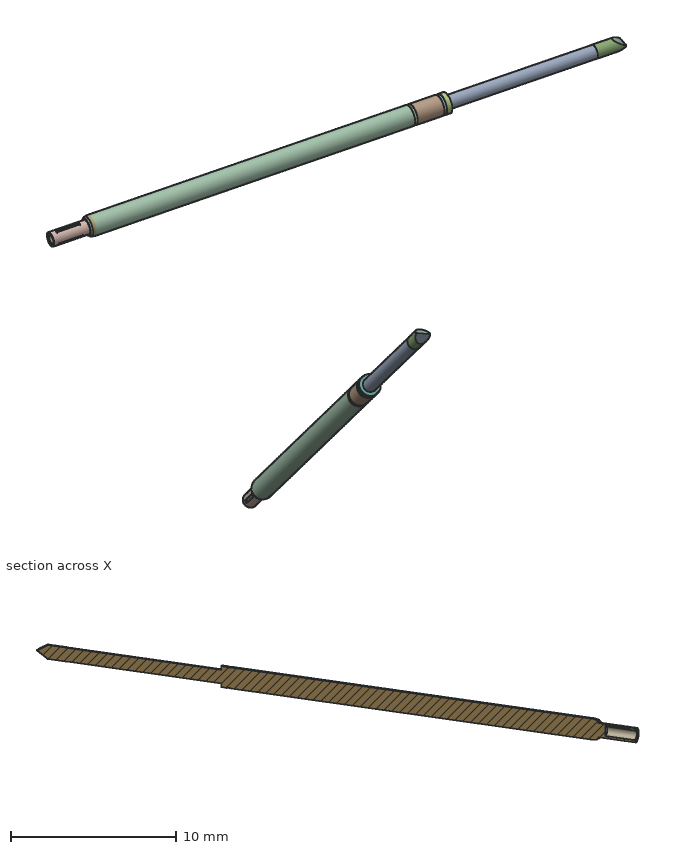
import cadquery as cq
import math


overall_length = 39.62
barrel_diameter = 1.37
plunger_diameter = 0.92
tail_diameter = 0.94

plunger_length = 12.20
tail_length = 2.47
barrel_length = overall_length - plunger_length - tail_length

tip_length = 0.74
corner_radius = 0.12
head_length = 2.00
neck_relief = 0.01

groove_positions = (0.45, 2.48)
groove_width = 0.18
groove_depth = 0.025

taper_length = 0.22
taper_depth = 0.04
end_chamfer_length = 0.12
end_chamfer_depth = 0.09

tail_bore_diameter = 0.58
tail_bore_depth = 2.0
bore_chamfer = 0.06
slot_count = 3
slot_length = 1.60
slot_width = 0.18
slot_depth = 0.10
slot_end_gap = 0.40

plunger_radius = plunger_diameter / 2
barrel_radius = barrel_diameter / 2
bore_radius = tail_bore_diameter / 2
barrel_rear = -barrel_length
tail_end = barrel_rear - tail_length


def rod(diameter, y_start, y_end):
    """Solid cylinder on the Y axis between two Y positions."""
    plane = cq.Workplane("XZ", origin=(0, y_end, 0))
    return plane.circle(diameter / 2).extrude(y_end - y_start)


def turned(profile):
    """Solid turned about the Y axis from (radius, Y) corner points."""
    return cq.Workplane("XY").polyline(profile).close().revolve(360, (0, 0, 0), (0, 1, 0))


def make_plunger():
    """Plunger rod with a slightly larger head ground to a round-cornered chisel edge along X."""
    head_start = plunger_length - head_length
    shoulder = plunger_length - tip_length
    corner_start = plunger_length - corner_radius
    edge_half_width = plunger_radius - corner_radius
    neck = rod(plunger_diameter - 2 * neck_relief, 0, head_start)
    head = rod(plunger_diameter, head_start, plunger_length)
    corner_middle = corner_radius * math.sqrt(0.5)
    rounded_blade = (
        cq.Workplane("XY")
        .moveTo(-plunger_radius, head_start)
        .lineTo(plunger_radius, head_start)
        .lineTo(plunger_radius, corner_start)
        .threePointArc(
            (edge_half_width + corner_middle, corner_start + corner_middle),
            (edge_half_width, plunger_length),
        )
        .lineTo(-edge_half_width, plunger_length)
        .threePointArc(
            (-edge_half_width - corner_middle, corner_start + corner_middle),
            (-plunger_radius, corner_start),
        )
        .close()
        .extrude(plunger_radius, both=True)
    )
    chisel = (
        cq.Workplane("YZ")
        .moveTo(head_start, -plunger_radius)
        .lineTo(shoulder, -plunger_radius)
        .lineTo(plunger_length, 0)
        .lineTo(shoulder, plunger_radius)
        .lineTo(head_start, plunger_radius)
        .close()
        .extrude(plunger_radius, both=True)
    )
    return neck.union(head.intersect(chisel).intersect(rounded_blade))


def make_barrel():
    """Barrel with a tapered and chamfered rear end and two rolled grooves."""
    chamfer_start = barrel_rear + end_chamfer_length
    chamfer_radius = barrel_radius - taper_depth
    barrel = turned([
        (0, 0),
        (barrel_radius, 0),
        (barrel_radius, chamfer_start + taper_length),
        (chamfer_radius, chamfer_start),
        (chamfer_radius - end_chamfer_depth, barrel_rear),
        (0, barrel_rear),
    ])
    floor_radius = barrel_radius - groove_depth
    for position in groove_positions:
        groove_rear = -position - groove_width / 2
        groove_front = groove_rear + groove_width
        barrel = barrel.cut(turned([
            (floor_radius, groove_rear),
            (barrel_diameter, groove_rear),
            (barrel_diameter, groove_front),
            (floor_radius, groove_front),
        ]))
    return barrel


def make_tail():
    """Hollow tail with equally spaced lengthwise slots, the first one facing up."""
    tail = rod(tail_diameter, tail_end, barrel_rear)
    tail = tail.cut(turned([
        (0, tail_end),
        (bore_radius + bore_chamfer, tail_end),
        (bore_radius, tail_end + bore_chamfer),
        (bore_radius, tail_end + tail_bore_depth),
        (0, tail_end + tail_bore_depth),
    ]))
    slot_centre = tail_end + slot_end_gap + slot_length / 2
    slot = cq.Workplane("XY").box(slot_width, slot_length, 2 * slot_depth)
    slot = slot.translate((0, slot_centre, tail_diameter / 2))
    for index in range(slot_count):
        angle = index * 360 / slot_count
        tail = tail.cut(slot.rotate((0, 0, 0), (0, 1, 0), angle))
    return tail


result = make_barrel().union(make_plunger()).union(make_tail())